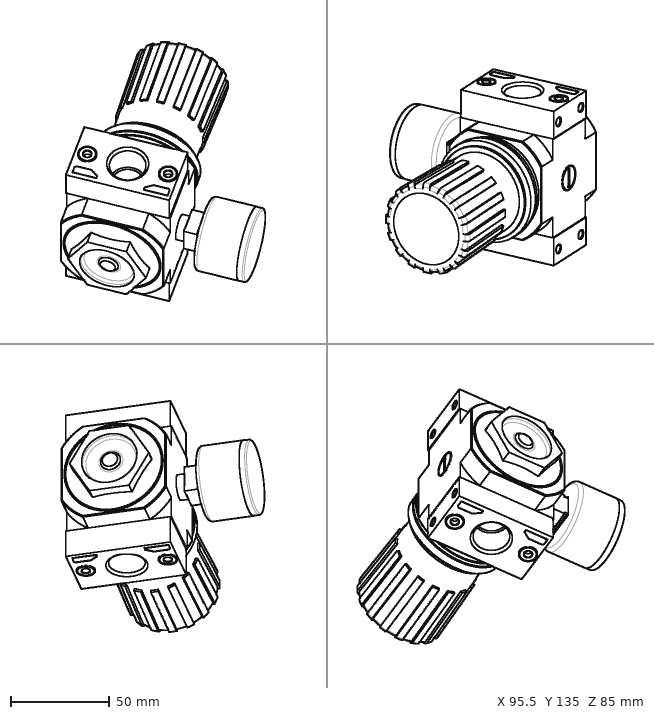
import cadquery as cq
import math


body_half_x = 27.5
body_half_z = 27.25
body_half_y = 27.2
corner_radius = 31.7
end_chamfer = 0.5

plate_left = -28.0
plate_right = 27.0
plate_half_y = 16.0
plate_outer_z = 42.5
plate_thickness = plate_outer_z - body_half_z
plate_center_x = (plate_left + plate_right) / 2

passage_diameter = 16.0
port_diameter = 18.63
port_mouth_diameter = 21.4
port_chamfer_depth = 1.4

screw_x = 21.5
screw_head_diameter = 9.6
screw_head_chamfer = 0.55
screw_head_height = 5.0
screw_shank_diameter = 5.0
screw_reach = 8.0
socket_diameter = 4.6
socket_tip_diameter = 4.13
socket_depth = 3.0

side_hole_y = 11.0
side_hole_z = 35.0
side_hole_mouth = 5.0
side_hole_diameter = 4.13
side_hole_depth = 6.0
drill_half_angle = 59.0

label_depth = 0.3
label_outer_x = 25.3
label_inner_x = 12.6
label_top_inner_x = 16.6
label_step_y = -11.8
label_top_y = -9.0
label_bottom_y = -13.3
label_corner = 0.8

cap_groove_radius = 25.9
cap_rim_radius = 25.2
cap_groove_depth = 0.5
dome_radius = 49.0
hex_flats = 36.0
hex_end_y = -36.0
cap_recess_diameter = 29.0
cap_floor_diameter = 26.4
cap_recess_depth = 3.0
pip_base = 12.6
pip_foot = 10.4
pip_top = 8.0
pip_foot_height = 0.25
pip_height = 1.5

bonnet_neck = (26.0, 30.4)
bonnet_step = (26.9, 32.3)
bonnet_flange = (27.4, 37.3)
bonnet_collar = (25.1, 40.0)
collar_cone_y = 38.6
flange_chamfer = 0.4

knob_start_y = bonnet_collar[1]
knob_skirt_radius = 22.15
knob_shoulder_y = 95.0
knob_shoulder_radius = 23.7
knob_edge_round = 1.8
knob_tip_y = 99.0
knob_dome_radius = 19.3
rib_count = 16
rib_width = 3.9
rib_start_y = 56.4
rib_start_radius = 23.75
rib_end_radius = 24.75

side_thread_diameter = 13.16
side_bore_depth = 8.0
plug_chamfer = 0.55
plug_slot_width = 1.64
plug_slot_length = 9.6
plug_slot_depth = 1.0
gauge_square_start = 32.0
gauge_square = 14.5
gauge_notch_start = 38.85
gauge_notch_end = 40.4
gauge_notch_height = 1.15
gauge_case_start = 40.8
gauge_case_end = 67.5
gauge_case_diameter = 39.0
gauge_back_round = 1.8
gauge_lens_start = 63.9
gauge_lens_step = 0.1
gauge_lens_round = 0.8


def cylinder_x(start, end, diameter):
    return cq.Workplane("YZ", origin=(start, 0, 0)).circle(diameter / 2).extrude(end - start)


def cylinder_z(start, end, diameter, x=0.0, y=0.0):
    return cq.Workplane("XY", origin=(x, y, start)).circle(diameter / 2).extrude(end - start)


def turned_about_y(profile):
    return profile.close().revolve(360, (0, 0, 0), (0, 1, 0))


def block_end(side):
    """One end of the block, with rounded corners and a bevelled outer edge."""
    length = body_half_y - plate_half_y
    box = cq.Workplane("XY").box(2 * body_half_x, length, 2 * body_half_z)
    rounding = cq.Workplane("XZ", origin=(0, length / 2, 0)).circle(corner_radius).extrude(length)
    end = box.intersect(rounding).faces(">Y" if side > 0 else "<Y").chamfer(end_chamfer)
    return end.translate((0, side * (plate_half_y + length / 2), 0))


def bonnet():
    flange_radius, flange_end = bonnet_flange
    profile = (
        cq.Workplane("XY")
        .moveTo(0, plate_half_y)
        .lineTo(bonnet_neck[0], plate_half_y)
        .lineTo(*bonnet_neck)
        .lineTo(bonnet_step[0], bonnet_neck[1])
        .lineTo(*bonnet_step)
        .lineTo(flange_radius - flange_chamfer, bonnet_step[1])
        .lineTo(flange_radius, bonnet_step[1] + flange_chamfer)
        .lineTo(flange_radius, flange_end)
        .lineTo(bonnet_collar[0], collar_cone_y)
        .lineTo(*bonnet_collar)
        .lineTo(0, bonnet_collar[1])
    )
    return turned_about_y(profile)


def dome_y(radius):
    """Position of the spherical cap surface at a distance from the axis."""
    rim_drop = math.sqrt(dome_radius**2 - cap_rim_radius**2)
    return -body_half_y - (math.sqrt(dome_radius**2 - radius**2) - rim_drop)


def bottom_cap():
    mid_radius = cap_rim_radius / 2
    dome_profile = (
        cq.Workplane("XY")
        .moveTo(0, -plate_half_y)
        .lineTo(cap_rim_radius, -plate_half_y)
        .lineTo(cap_rim_radius, -body_half_y)
        .threePointArc((mid_radius, dome_y(mid_radius)), (0, dome_y(0)))
    )
    hexagon = (
        cq.Workplane("XZ", origin=(0, -body_half_y, 0))
        .polygon(6, hex_flats / math.cos(math.pi / 6))
        .extrude(-body_half_y - hex_end_y)
    )
    floor_y = hex_end_y + cap_recess_depth
    floor_round = (cap_recess_diameter - cap_floor_diameter) / 2
    recess_profile = (
        cq.Workplane("XY")
        .moveTo(0, hex_end_y)
        .lineTo(cap_recess_diameter / 2, hex_end_y)
        .lineTo(cap_recess_diameter / 2, floor_y - floor_round)
        .radiusArc((cap_floor_diameter / 2, floor_y), -floor_round)
        .lineTo(0, floor_y)
    )
    pip_profile = (
        cq.Workplane("XY")
        .moveTo(0, floor_y)
        .lineTo(pip_base / 2, floor_y)
        .lineTo(pip_foot / 2, floor_y - pip_foot_height)
        .lineTo(pip_top / 2, floor_y - pip_height)
        .lineTo(0, floor_y - pip_height)
    )
    cap = turned_about_y(dome_profile).union(hexagon)
    return cap.cut(turned_about_y(recess_profile)).union(turned_about_y(pip_profile))


def make_housing():
    housing = cq.Workplane("XY").box(2 * body_half_x, 2 * plate_half_y, 2 * body_half_z)
    housing = housing.union(block_end(1)).union(block_end(-1)).union(bonnet())
    cap_groove = (
        cq.Workplane("XZ", origin=(0, -body_half_y + cap_groove_depth, 0))
        .circle(cap_groove_radius)
        .extrude(cap_groove_depth)
    )
    housing = housing.cut(cap_groove).union(bottom_cap())
    housing = housing.cut(cylinder_z(-body_half_z, body_half_z, passage_diameter))
    for side in (-1, 1):
        bore_floor = side * (body_half_x - side_bore_depth)
        housing = housing.cut(cylinder_x(bore_floor, side * body_half_x, side_thread_diameter))
        for x in (-screw_x, screw_x):
            end = side * body_half_z
            start = side * (body_half_z - screw_reach)
            housing = housing.cut(cylinder_z(start, end, screw_shank_diameter, x))
    return housing


def label_pocket(side):
    return (
        cq.Workplane("XY", origin=(0, 0, plate_outer_z - label_depth))
        .moveTo(side * label_inner_x, label_bottom_y)
        .lineTo(side * label_outer_x, label_bottom_y)
        .lineTo(side * label_outer_x, label_top_y - label_corner)
        .lineTo(side * (label_outer_x - label_corner), label_top_y)
        .lineTo(side * label_top_inner_x, label_top_y)
        .lineTo(side * label_inner_x, label_step_y)
        .close()
        .extrude(label_depth)
    )


def side_hole(y):
    """Blind hole entering from the left plate face, with a countersink and a drill point."""
    radius = side_hole_diameter / 2
    countersink = (side_hole_mouth - side_hole_diameter) / 2
    point_length = radius / math.tan(math.radians(drill_half_angle))
    profile = (
        cq.Workplane("XY")
        .lineTo(0, side_hole_mouth / 2)
        .lineTo(countersink, radius)
        .lineTo(side_hole_depth, radius)
        .lineTo(side_hole_depth + point_length, 0)
        .close()
    )
    return profile.revolve(360, (0, 0, 0), (1, 0, 0)).translate((plate_left, y, side_hole_z))


def make_plate():
    """Upper connecting plate."""
    plate = cq.Workplane("XY", origin=(plate_center_x, 0, body_half_z)).box(
        plate_right - plate_left, 2 * plate_half_y, plate_thickness, centered=(True, True, False)
    )
    port_profile = (
        cq.Workplane("XZ")
        .moveTo(0, body_half_z)
        .lineTo(port_diameter / 2, body_half_z)
        .lineTo(port_diameter / 2, plate_outer_z - port_chamfer_depth)
        .lineTo(port_mouth_diameter / 2, plate_outer_z)
        .lineTo(0, plate_outer_z)
        .close()
    )
    plate = plate.cut(port_profile.revolve(360, (0, 0, 0), (0, 1, 0)))
    for side in (-1, 1):
        x = side * screw_x
        seat_z = plate_outer_z - screw_head_height
        plate = plate.cut(cylinder_z(body_half_z, plate_outer_z, screw_shank_diameter, x))
        plate = plate.cut(cylinder_z(seat_z, plate_outer_z, screw_head_diameter, x))
        plate = plate.cut(label_pocket(side))
        plate = plate.cut(side_hole(side * side_hole_y))
    return plate


def make_screw(x):
    """Upper plate screw: round head flush with the plate, with a round pointed socket."""
    seat_z = plate_outer_z - screw_head_height
    screw = cylinder_z(seat_z, plate_outer_z, screw_head_diameter, x)
    screw = screw.faces(">Z").chamfer(screw_head_chamfer)
    screw = screw.union(cylinder_z(body_half_z - screw_reach, seat_z, screw_shank_diameter, x))
    tip_radius = socket_tip_diameter / 2
    countersink = (socket_diameter - socket_tip_diameter) / 2
    point_length = tip_radius / math.tan(math.radians(drill_half_angle))
    profile = (
        cq.Workplane("XZ")
        .lineTo(socket_diameter / 2, 0)
        .lineTo(tip_radius, -countersink)
        .lineTo(tip_radius, -socket_depth)
        .lineTo(0, -socket_depth - point_length)
        .close()
    )
    socket = profile.revolve(360, (0, 0, 0), (0, 1, 0)).translate((x, 0, plate_outer_z))
    return screw.cut(socket)


def knob_rib():
    """One tapered grip rib standing on the +X side of the knob."""
    return (
        cq.Workplane("XY", origin=(0, 0, -rib_width / 2))
        .moveTo(knob_dome_radius, rib_start_y)
        .lineTo(rib_start_radius, rib_start_y)
        .lineTo(rib_end_radius, knob_shoulder_y - knob_edge_round)
        .radiusArc((rib_end_radius - knob_edge_round, knob_shoulder_y), -knob_edge_round)
        .lineTo(knob_dome_radius, knob_shoulder_y)
        .close()
        .extrude(rib_width)
    )


def make_knob():
    dome_height = knob_tip_y - knob_shoulder_y
    sphere_radius = (knob_dome_radius**2 + dome_height**2) / (2 * dome_height)
    mid_radius = knob_dome_radius / 2
    mid_y = knob_tip_y - sphere_radius + math.sqrt(sphere_radius**2 - mid_radius**2)
    profile = (
        cq.Workplane("XY")
        .moveTo(0, knob_start_y)
        .lineTo(knob_skirt_radius, knob_start_y)
        .lineTo(knob_shoulder_radius, knob_shoulder_y - knob_edge_round)
        .radiusArc((knob_shoulder_radius - knob_edge_round, knob_shoulder_y), -knob_edge_round)
        .lineTo(knob_dome_radius, knob_shoulder_y)
        .threePointArc((mid_radius, mid_y), (0, knob_tip_y))
    )
    knob = turned_about_y(profile)
    for index in range(rib_count):
        knob = knob.union(knob_rib().rotate((0, 0, 0), (0, 1, 0), index * 360 / rib_count))
    return knob


def make_plug():
    plug = cylinder_x(-body_half_x, -body_half_x + side_bore_depth, side_thread_diameter)
    plug = plug.faces("<X").chamfer(plug_chamfer)
    slot = cq.Workplane("XY").box(2 * plug_slot_depth, plug_slot_width, plug_slot_length)
    return plug.cut(slot.translate((-body_half_x, 0, 0)))


def make_gauge():
    gauge = cylinder_x(body_half_x - side_bore_depth, gauge_square_start, side_thread_diameter)
    square = cq.Workplane("YZ", origin=(gauge_square_start, 0, 0)).rect(gauge_square, gauge_square)
    gauge = gauge.union(square.extrude(gauge_case_start - gauge_square_start))
    for side in (-1, 1):
        notch = cq.Workplane("XY").box(
            gauge_notch_end - gauge_notch_start, gauge_square, 2 * gauge_notch_height
        )
        notch_x = (gauge_notch_start + gauge_notch_end) / 2
        gauge = gauge.cut(notch.translate((notch_x, 0, side * gauge_square / 2)))
    case = cylinder_x(gauge_case_start, gauge_lens_start, gauge_case_diameter)
    case = case.faces("<X").edges().fillet(gauge_back_round)
    lens_diameter = gauge_case_diameter - 2 * gauge_lens_step
    lens = cylinder_x(gauge_lens_start, gauge_case_end, lens_diameter)
    lens = lens.faces(">X").edges().fillet(gauge_lens_round)
    return gauge.union(case).union(lens)


housing = make_housing()
knob = make_knob()
plug = make_plug()
gauge = make_gauge()
upper_plate = make_plate()
plates = [upper_plate, upper_plate.mirror("XY")]
upper_screws = [make_screw(x) for x in (-screw_x, screw_x)]
screws = upper_screws + [screw.mirror("XY") for screw in upper_screws]

bodies = [housing, knob, plug, gauge, *plates, *screws]
result = cq.Compound.makeCompound([body.val() for body in bodies])